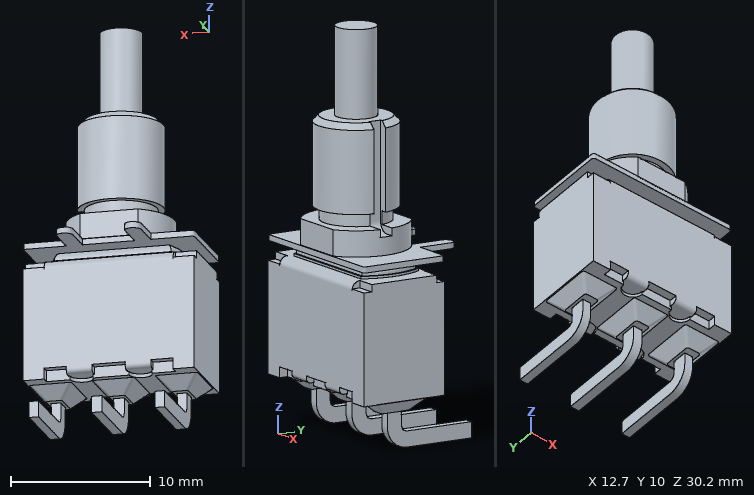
import cadquery as cq
import math

housing_length = 12.7
housing_width = 6.88
housing_bottom = 3.77
housing_top = 12.68
end_wall_length = 1.57
end_wall_step = 0.55
cover_thickness = 0.65
cover_bottom = 4.6

tab_spacing = 4.38
tab_length = 1.9
tab_bottom = 4.05
tab_bend_radius = 0.35
notch_radius = 0.85

boot_diameter = 9.78
boot_across_flats = 4.6
boot_rounding = 0.63
boot_flange_height = 0.18
boot_flange_margin = 0.15

plate_bottom = 13.6
plate_top = 14.05
plate_corner_radius = 0.25
leg_width = 1.2
leg_spacing = 5.07
reach_y = 6.6

nut_diameter = 7.97
nut_across_flats = 6.7
nut_top = 15.97
neck_diameter = 5.3
bushing_diameter = 6.3
bushing_bottom = 16.97
bushing_top = 23.6
bushing_chamfer = 0.45
plunger_diameter = 3.1
plunger_top = 30.2

keyway_width = 1.0
keyway_inner_x = 2.45
keyway_floor_radius = 0.82
keyway_floor = 15.4

terminal_spacing = 4.68
outer_terminal_thickness = 0.72
middle_terminal_thickness = 0.8
terminal_width = 1.2
terminal_bend_radius = 0.5
seal_length = 3.15
seal_width = 4.35
seal_bottom = 2.78
seal_side_inset = 0.97
seal_edge_radius = 0.3

core_width = housing_width - 2 * cover_thickness
cover_length = housing_length - 2 * end_wall_length
terminal_xs = (-terminal_spacing, 0, terminal_spacing)
tab_xs = (-tab_spacing / 2, tab_spacing / 2)


def block(length, width, bottom, top):
    """Box centred on the Z axis between two heights."""
    return cq.Workplane("XY").workplane(offset=bottom).rect(length, width).extrude(top - bottom)


def cylinder(diameter, bottom, top):
    """Cylinder on the Z axis between two heights."""
    return cq.Workplane("XY").workplane(offset=bottom).circle(diameter / 2).extrude(top - bottom)


def flatted_cylinder(diameter, across_flats, bottom, top):
    """Cylinder on the Z axis with two parallel flats facing -Y and +Y."""
    return cylinder(diameter, bottom, top).intersect(block(diameter, across_flats, bottom, top))


def make_housing():
    """Core with full-width end walls, side covers and their bent tabs."""
    core = block(housing_length, core_width, housing_bottom, housing_top)
    notch_centers = [(x, side * core_width / 2) for x in tab_xs for side in (-1, 1)]
    notches = (
        cq.Workplane("XY").workplane(offset=housing_bottom)
        .pushPoints(notch_centers).circle(notch_radius).extrude(tab_bottom - housing_bottom)
    )
    body = core.cut(notches)

    end_wall_x = (housing_length - end_wall_length) / 2
    end_wall = block(end_wall_length, housing_width, housing_bottom, housing_top - end_wall_step)
    for x in (-end_wall_x, end_wall_x):
        body = body.union(end_wall.translate((x, 0, 0)))

    cover = block(cover_length, housing_width, cover_bottom, housing_top)
    body = body.union(cover.edges("|X and >Z").fillet(cover_thickness))

    tab_bend = block(tab_length, housing_width, tab_bottom, cover_bottom)
    tab_bend = tab_bend.edges("|X and <Z").fillet(tab_bend_radius)
    tab_gap = block(tab_length, core_width, tab_bottom, cover_bottom)
    tab_pair = tab_bend.cut(tab_gap)
    for x in tab_xs:
        body = body.union(tab_pair.translate((x, 0, 0)))
    return body


def make_boot():
    """Flatted round boot with a rounded rim, on a thin flange."""
    boot = flatted_cylinder(boot_diameter, boot_across_flats, housing_top, plate_bottom)
    boot = boot.faces(">Z").edges().fillet(boot_rounding)
    flange = flatted_cylinder(
        boot_diameter + 2 * boot_flange_margin,
        boot_across_flats + 2 * boot_flange_margin,
        housing_top,
        housing_top + boot_flange_height,
    )
    return boot.union(flange)


def make_plate():
    """Mounting plate with two round-ended legs toward +Y."""
    plate = block(housing_length, housing_width, plate_bottom, plate_top)
    plate = plate.edges("|Z").fillet(plate_corner_radius)
    leg = (
        cq.Workplane("XY").workplane(offset=plate_bottom)
        .center(0, reach_y / 2)
        .slot2D(reach_y, leg_width, 90)
        .extrude(plate_top - plate_bottom)
    )
    for x in (-leg_spacing / 2, leg_spacing / 2):
        plate = plate.union(leg.translate((x, 0, 0)))
    return plate


def make_bushing():
    """Flatted nut, neck, bushing and plunger with the keyway cut on the +X side."""
    nut = flatted_cylinder(nut_diameter, nut_across_flats, plate_top, nut_top)
    barrel = cylinder(bushing_diameter, bushing_bottom, bushing_top)
    barrel = barrel.faces(">Z").edges().chamfer(bushing_chamfer)
    stack = nut.union(cylinder(neck_diameter, nut_top, bushing_bottom)).union(barrel)

    keyway_length = nut_diameter / 2
    keyway = block(keyway_length, keyway_width, keyway_floor, bushing_top)
    keyway = keyway.edges("|Y and <X and <Z").fillet(keyway_floor_radius)
    stack = stack.cut(keyway.translate((keyway_inner_x + keyway_length / 2, 0, 0)))
    return stack.union(cylinder(plunger_diameter, bushing_top, plunger_top))


def make_terminal(x, thickness):
    """Flat terminal bent from -Z toward +Y, with a tapered seal below the housing."""
    outer_radius = terminal_bend_radius + terminal_width
    half_width = terminal_width / 2
    bend_y = outer_radius - half_width
    pin = (
        cq.Workplane("YZ").workplane(offset=x - thickness / 2)
        .moveTo(-half_width, housing_bottom)
        .lineTo(-half_width, outer_radius)
        .radiusArc((bend_y, 0), -outer_radius)
        .lineTo(reach_y, 0)
        .lineTo(reach_y, terminal_width)
        .lineTo(bend_y, terminal_width)
        .radiusArc((half_width, outer_radius), terminal_bend_radius)
        .lineTo(half_width, housing_bottom)
        .close()
        .extrude(thickness)
    )
    seal_height = housing_bottom - seal_bottom
    taper = math.degrees(math.atan2(seal_side_inset, seal_height))
    seal = (
        cq.Workplane("XY").workplane(offset=housing_bottom)
        .center(x, 0)
        .rect(seal_length, seal_width)
        .extrude(-seal_height, taper=taper)
    )
    seal = seal.edges("not(#Z)").fillet(seal_edge_radius)
    return pin.union(seal)


result = make_housing().union(make_boot()).union(make_plate()).union(make_bushing())
for terminal_x in terminal_xs:
    terminal_thickness = outer_terminal_thickness if terminal_x else middle_terminal_thickness
    result = result.union(make_terminal(terminal_x, terminal_thickness))